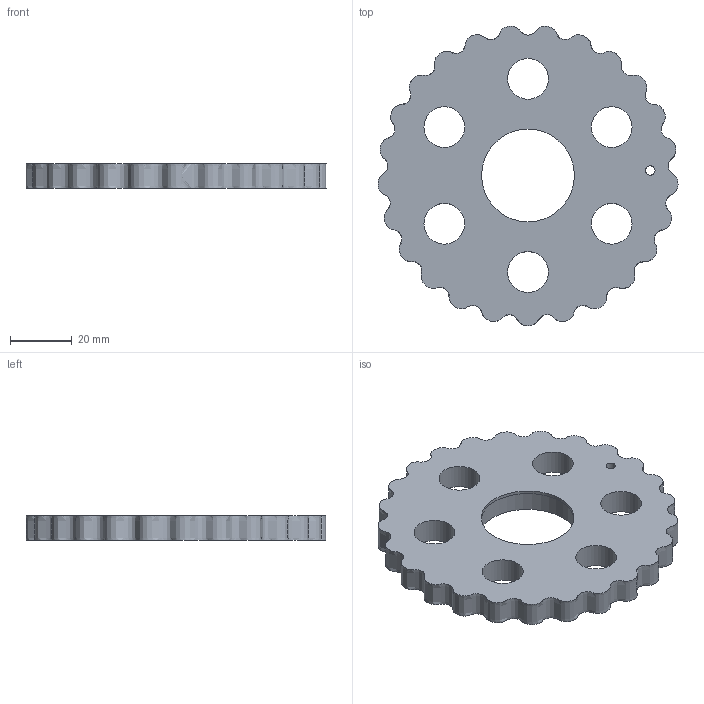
import cadquery as cq
import math

lobe_count = 25
pin_count = lobe_count + 1
pin_circle_radius = 50.0
pin_radius = 3.0
eccentricity = 1.6
thickness = 8.0

bearing_diameter = 32.0
lip_diameter = 30.0
lip_thickness = 1.0

roller_hole_count = 6
roller_diameter = 10.0
roller_hole_diameter = roller_diameter + 2 * eccentricity
roller_circle_radius = 31.25
first_roller_angle = 90.0

index_hole_diameter = 3.05
index_hole_x = 39.55
index_hole_y = 1.6

lobe_pitch = 360.0 / lobe_count
first_valley_angle = -90.0 + lobe_pitch / 2
points_per_lobe = 24


def cycloid_point(angle):
    """Point on the disc edge: an epitrochoid shifted inward by the pin radius."""
    x = pin_circle_radius * math.cos(angle) - eccentricity * math.cos(pin_count * angle)
    y = pin_circle_radius * math.sin(angle) - eccentricity * math.sin(pin_count * angle)
    wobble_speed = pin_count * eccentricity
    speed_x = wobble_speed * math.sin(pin_count * angle) - pin_circle_radius * math.sin(angle)
    speed_y = pin_circle_radius * math.cos(angle) - wobble_speed * math.cos(pin_count * angle)
    speed = math.hypot(speed_x, speed_y)
    return (x - pin_radius * speed_y / speed, y + pin_radius * speed_x / speed)


def make_disc():
    """Solid disc whose edge runs as one smooth periodic curve through all the lobes."""
    point_count = lobe_count * points_per_lobe
    outline = [cycloid_point(2 * math.pi * i / point_count) for i in range(point_count)]
    disc = cq.Workplane("XY").spline(outline, periodic=True).close().extrude(thickness)
    return disc.rotate((0, 0, 0), (0, 0, 1), first_valley_angle)


def cut_bearing_seat(body):
    """Lip bore through the whole disc, then the wider seat from the bottom up to the lip."""
    lip_bore = cq.Workplane("XY").circle(lip_diameter / 2).extrude(thickness)
    seat = cq.Workplane("XY").circle(bearing_diameter / 2).extrude(thickness - lip_thickness)
    return body.cut(lip_bore).cut(seat)


def cut_roller_holes(body):
    """Ring of equal through holes, the first one on +Y."""
    holes = (
        cq.Workplane("XY")
        .polarArray(roller_circle_radius, first_roller_angle, 360, roller_hole_count)
        .circle(roller_hole_diameter / 2)
        .extrude(thickness)
    )
    return body.cut(holes)


def cut_index_hole(body):
    """Small through hole near the edge on the +X side."""
    hole = (
        cq.Workplane("XY")
        .center(index_hole_x, index_hole_y)
        .circle(index_hole_diameter / 2)
        .extrude(thickness)
    )
    return body.cut(hole)


result = make_disc()
result = cut_bearing_seat(result)
result = cut_roller_holes(result)
result = cut_index_hole(result)